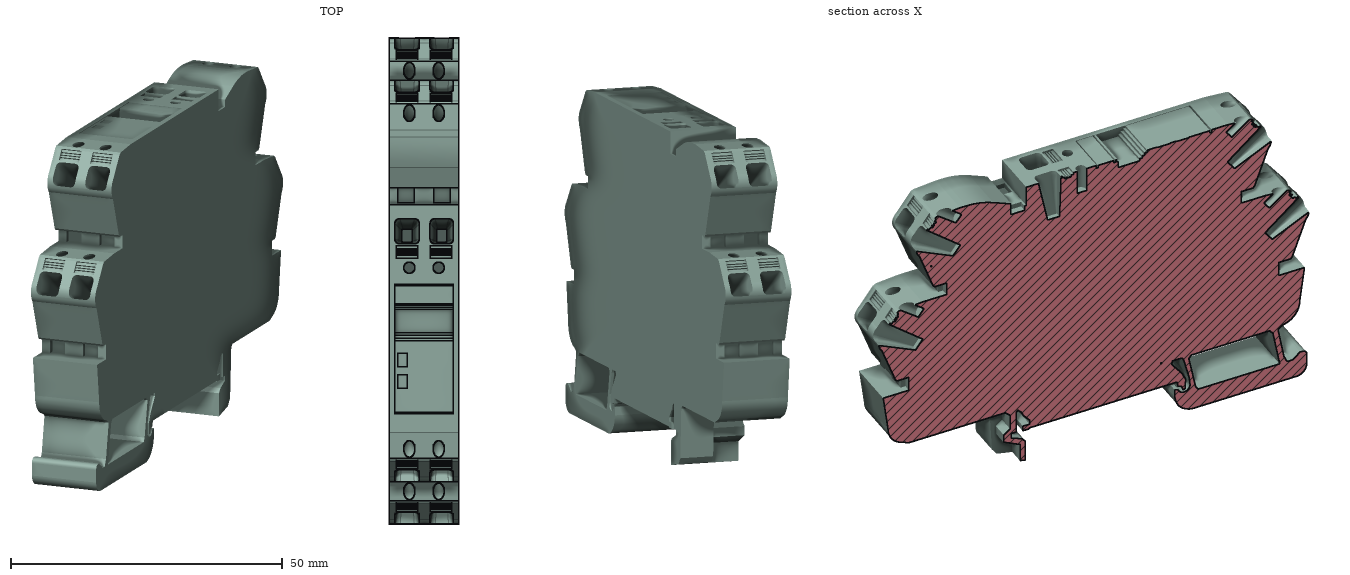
import cadquery as cq
import math

WIDTH = 12.8
HALF_LENGTH = 89.37 / 2
HEIGHT = 62.45
SIDE_X = -WIDTH / 2
CUT_MARGIN = 0.5

TIER_OUT = 7.8
TIER_DROP = 18.85
TIERS = (0, 1)
ENDS = (-1, 1)

LOBE_REACH = HALF_LENGTH - TIER_OUT
LOBE_FLAT_END = 27.8
LOBE_SHOULDER = (32.6, 62.05)
LOBE_FACE_TOP = (33.1, 61.7)
LOBE_FACE_END = (36.0, 57.92)
LOBE_NOSE = (LOBE_REACH, 55.91)
LOBE_NOSE_END = (36.2, 54.1)
NOTCH_TOP_Z = 46.1
HEEL_CHAMFER = 0.4
LOBE_HEEL = (33.4, NOTCH_TOP_Z + HEEL_CHAMFER)
NOTCH_WALL_Y = 31.6
NOTCH_HEIGHT = NOTCH_TOP_Z - (HEIGHT - TIER_DROP)

LEDGE_Y = 43.75
LEDGE_Z = 24.4
CORNER_START = (42.75, 17.0)
CORNER_MID = (41.75, 14.2)
CORNER_END = (39.4, 12.75)
HOUSING_BOTTOM_Z = 12.3
STRUT_FOOT_Y = 38.5
RAIL_FACE_Z = 7.15

CREST_Y = 26.5
CREST_RADIUS = 14.3
CREST_ANGLE = math.radians(23)
SLOT_OUTER_Y = 17.15
SLOT_INNER_Y = 14.05
SLOT_FLOOR_Z = 58.3

BUTTON_X = 3.12
FUNNELS = ((-3.12, 4.5), (3.25, 4.3))
FUNNEL_START = 2.65
FUNNEL_LENGTH = 4.6
FUNNEL_DEPTH = 9.0
FUNNEL_CORNER = 0.9
FUNNEL_FLOOR_WIDTH = 1.9
FUNNEL_FLOOR_LENGTH = 2.4
FUNNEL_FLOOR_CORNER = 0.2
FUNNEL_FLOOR_SETBACK = 0.3
BUTTON_WIDTH = 4.0
BUTTON_LENGTH = 2.3
BUTTON_DEPTH = 0.4
BUTTON_GROOVE_DEPTH = 0.4
BUTTON_GROOVE_WIDTH = 0.25
BUTTON_GROOVES = (0.5, 1.0, 1.5)
TEST_HOLE_X = 2.7
TEST_HOLE_OFFSET = 1.75
TEST_HOLE_DIAMETER = 2.05
TEST_HOLE_DEPTH = 5.0
TOP_TERMINAL_Y = 4.2

MARKER_X = 3.28
MARKER_WIDTH = 3.0
MARKER_DEPTH = 1.0
SLOT_MARKER_LENGTH = 2.75

LABEL_WIDTH = 10.7
LABEL_REAR_Y = -0.55
LABEL_FRONT_Y = -24.4
LABEL_RECESS = 0.1
LABEL_GAP = 0.3
LABEL_GAP_DEPTH = 0.6
GRIP_GROOVE_Y = -4.15
GRIP_REAR_Y = -5.15
GRIP_FRONT_Y = -9.5
GRIP_DEPTH = 2.0
GRIP_STAIRS = 3
GRIP_STAIR_RUN = 0.5
LAMP_X = -3.95
LAMP_SIZE = (1.75, 2.5)
LAMP_CENTRES_Y = (-14.5, -18.5)

FOOT_SLOT_DEPTH = 1.0
CLIP_RECESS_DEPTH = WIDTH / 2


def lobe_point(point, tier):
    """Move a point of the upper lobe to the given tier."""
    out, height = point
    return (out + tier * TIER_OUT, height - tier * TIER_DROP)


def side_plate(outline, depth=WIDTH):
    """Extrude a closed YZ outline from the -X side face."""
    return outline.close().extrude(depth)


def yz_start(point):
    """Begin an outline in the plane of the -X side face."""
    return cq.Workplane("YZ", origin=(SIDE_X, 0, 0)).moveTo(*point)


def box(x_range, y_range, z_range):
    """Block between the given limits along X, Y and Z."""
    corners = (x_range, y_range, z_range)
    sizes = [high - low for low, high in corners]
    centre = tuple((low + high) / 2 for low, high in corners)
    return cq.Workplane("XY").box(*sizes).translate(centre)


def half_housing(end):
    """Stepped housing on one side of the mid plane."""
    def at(point, tier=0):
        out, height = lobe_point(point, tier)
        return (end * out, height)

    outline = yz_start((0, HOUSING_BOTTOM_Z)).lineTo(0, HEIGHT)
    for tier in TIERS:
        outline = (
            outline.lineTo(*at((LOBE_FLAT_END, HEIGHT), tier))
            .lineTo(*at(LOBE_SHOULDER, tier))
            .lineTo(*at(LOBE_FACE_TOP, tier))
            .lineTo(*at(LOBE_FACE_END, tier))
            .threePointArc(at(LOBE_NOSE, tier), at(LOBE_NOSE_END, tier))
            .lineTo(*at(LOBE_HEEL, tier))
            .lineTo(*at((LOBE_HEEL[0] - HEEL_CHAMFER, NOTCH_TOP_Z), tier))
            .lineTo(*at((NOTCH_WALL_Y, NOTCH_TOP_Z), tier))
        )
        shelf_z = LEDGE_Z if tier else HEIGHT - TIER_DROP
        outline = outline.lineTo(end * (NOTCH_WALL_Y + tier * TIER_OUT), shelf_z)
    outline = (
        outline.lineTo(*at((LEDGE_Y, LEDGE_Z)))
        .lineTo(*at(CORNER_START))
        .threePointArc(at(CORNER_MID), at(CORNER_END))
        .lineTo(*at((STRUT_FOOT_Y, HOUSING_BOTTOM_Z)))
    )
    return side_plate(outline)


def crest_cut():
    """Material removed above the rear crest and in the slot beside it."""
    arc_end_y = CREST_Y - CREST_RADIUS * math.sin(CREST_ANGLE)
    arc_end_z = HEIGHT - CREST_RADIUS * (1 - math.cos(CREST_ANGLE))
    arc_mid_y = CREST_Y - CREST_RADIUS * math.sin(CREST_ANGLE / 2)
    arc_mid_z = HEIGHT - CREST_RADIUS * (1 - math.cos(CREST_ANGLE / 2))
    brow_z = arc_end_z - (arc_end_y - SLOT_OUTER_Y) * math.tan(CREST_ANGLE)
    above = HEIGHT + CUT_MARGIN
    outline = (
        yz_start((CREST_Y, HEIGHT))
        .threePointArc((arc_mid_y, arc_mid_z), (arc_end_y, arc_end_z))
        .lineTo(SLOT_OUTER_Y, brow_z)
        .lineTo(SLOT_OUTER_Y, SLOT_FLOOR_Z)
        .lineTo(SLOT_INNER_Y, SLOT_FLOOR_Z)
        .lineTo(SLOT_INNER_Y, above)
        .lineTo(CREST_Y, above)
    )
    return side_plate(outline)


def rail_block():
    """Block that rests on the rail, with a lip at the rear and a hook at the front."""
    outline = (
        yz_start((16.0, HOUSING_BOTTOM_Z))
        .lineTo(15.5, 11.7)
        .lineTo(15.1, 11.4)
        .lineTo(14.7, 10.5)
        .lineTo(13.35, 8.9)
        .lineTo(13.35, 8.1)
        .lineTo(14.75, 8.1)
        .lineTo(14.75, 6.95)
        .lineTo(13.35, 6.95)
        .lineTo(13.35, RAIL_FACE_Z)
        .lineTo(-17.2, RAIL_FACE_Z)
        .lineTo(-17.45, 6.1)
        .lineTo(-18.2, 5.9)
        .lineTo(-18.45, 5.0)
        .lineTo(-18.95, 5.0)
        .lineTo(-19.1, 7.2)
        .lineTo(-18.3, 8.9)
        .lineTo(-16.2, 11.6)
        .lineTo(-16.35, HOUSING_BOTTOM_Z)
    )
    return side_plate(outline)


def rear_clip():
    """Springy leg that snaps behind the rear edge of the rail."""
    outline = (
        yz_start((20.6, HOUSING_BOTTOM_Z))
        .lineTo(20.05, 11.7)
        .lineTo(19.5, 2.3)
        .lineTo(18.5, 1.0)
        .lineTo(14.2, 0.1)
        .lineTo(14.2, 4.5)
        .lineTo(14.9, 5.3)
        .lineTo(17.1, 6.2)
        .lineTo(17.1, 7.15)
        .lineTo(16.05, 7.15)
        .lineTo(16.05, 11.6)
        .lineTo(15.6, HOUSING_BOTTOM_Z)
    )
    return side_plate(outline)


def rear_clip_recess():
    """Outer part of the clip, set back from the side face."""
    outline = (
        yz_start((21.5, HOUSING_BOTTOM_Z))
        .lineTo(18.4, HOUSING_BOTTOM_Z)
        .lineTo(17.4, 11.4)
        .lineTo(17.4, 8.4)
        .lineTo(18.7, 7.4)
        .lineTo(18.7, 5.7)
        .lineTo(15.3, 4.0)
        .lineTo(15.3, -CUT_MARGIN)
        .lineTo(21.5, -CUT_MARGIN)
    )
    return side_plate(outline, CLIP_RECESS_DEPTH)


def front_foot():
    """Foot latch hung below the housing by two slanted struts."""
    outline = (
        yz_start((-18.3, HOUSING_BOTTOM_Z))
        .lineTo(-18.6, 11.7)
        .lineTo(-19.7, 7.5)
        .lineTo(-19.9, 5.8)
        .threePointArc((-18.8, 4.5), (-17.5, 5.5))
        .lineTo(-16.75, 5.6)
        .lineTo(-16.75, 4.0)
        .threePointArc((-17.9, 1.3), (-20.3, 0))
        .lineTo(-42.0, 0)
        .threePointArc((-43.5, 0.6), (-44.2, 2.1))
        .lineTo(-44.2, 4.5)
        .threePointArc((-43.93, 5.13), (-43.3, 5.4))
        .lineTo(-42.8, 5.4)
        .lineTo(-41.2, 4.15)
        .lineTo(-40.1, 4.15)
        .lineTo(-39.5, 5.4)
        .lineTo(-38.25, 12.0)
        .lineTo(-STRUT_FOOT_Y, HOUSING_BOTTOM_Z)
    )
    window = (
        yz_start((-20.2, HOUSING_BOTTOM_Z))
        .lineTo(-19.75, 11.7)
        .lineTo(-21.15, 4.9)
        .lineTo(-21.6, 4.15)
        .lineTo(-38.5, 4.15)
        .lineTo(-37.1, 11.5)
        .lineTo(-36.5, HOUSING_BOTTOM_Z)
    )
    return side_plate(outline).cut(side_plate(window))


def foot_slot():
    """Long shallow groove in the side of the foot latch."""
    outline = (
        yz_start((-18.3, 3.0))
        .lineTo(-18.8, 3.5)
        .lineTo(-20.7, 3.5)
        .lineTo(-21.5, 3.0)
        .lineTo(-39.4, 3.0)
        .threePointArc((-40.05, 2.05), (-39.4, 1.1))
        .lineTo(-20.3, 1.1)
        .threePointArc((-19.0, 1.7), (-18.3, 3.0))
    )
    return side_plate(outline, FOOT_SLOT_DEPTH)


def wire_funnel(face, x, width, end):
    """Funnel whose far and side walls slope in while the button side stays steep."""
    mouth_y = end * (FUNNEL_START + FUNNEL_LENGTH / 2)
    floor_y = end * (FUNNEL_START + FUNNEL_FLOOR_SETBACK + FUNNEL_FLOOR_LENGTH / 2)
    mouth = cq.Sketch().rect(width, FUNNEL_LENGTH).vertices().fillet(FUNNEL_CORNER)
    floor = (
        cq.Sketch().rect(FUNNEL_FLOOR_WIDTH, FUNNEL_FLOOR_LENGTH)
        .vertices().fillet(FUNNEL_FLOOR_CORNER)
    )
    floor_place = cq.Location(cq.Vector(0, floor_y - mouth_y, -FUNNEL_DEPTH))
    funnel = face.center(x, mouth_y)
    clearance = funnel.placeSketch(mouth).extrude(CUT_MARGIN)
    return funnel.placeSketch(mouth, floor.moved(floor_place)).loft().union(clearance)


def terminal_pair(origin, tilt, end):
    """Cutters for two terminals on a face tilted towards one end.

    Distances along the face run from the test holes to the wire funnels.
    """
    normal = (0, end * math.sin(tilt), math.cos(tilt))
    face = cq.Workplane(cq.Plane(origin=origin, xDir=(1, 0, 0), normal=normal))

    def pocket(x, start, width, length):
        return face.center(x, end * (start + length / 2)).rect(width, length)

    cutters = []
    for funnel_x, funnel_width in FUNNELS:
        side = math.copysign(1, funnel_x)
        button_x = side * BUTTON_X
        cutters.append(wire_funnel(face, funnel_x, funnel_width, end))
        cutters.append(pocket(button_x, 0, BUTTON_WIDTH, BUTTON_LENGTH).extrude(-BUTTON_DEPTH))
        for start in BUTTON_GROOVES:
            groove = pocket(button_x, start, BUTTON_WIDTH, BUTTON_GROOVE_WIDTH)
            cutters.append(groove.extrude(-BUTTON_DEPTH - BUTTON_GROOVE_DEPTH))
        cutters.append(
            face.workplane(offset=-TEST_HOLE_DEPTH)
            .center(side * TEST_HOLE_X, -end * TEST_HOLE_OFFSET)
            .circle(TEST_HOLE_DIAMETER / 2)
            .extrude(TEST_HOLE_DEPTH + CUT_MARGIN)
        )
    return cutters


def all_terminals():
    """Cutters for the pair on top and the pairs on the four lobes."""
    run = LOBE_FACE_END[0] - LOBE_FACE_TOP[0]
    drop = LOBE_FACE_TOP[1] - LOBE_FACE_END[1]
    face_tilt = math.atan2(drop, run)
    cutters = terminal_pair((0, TOP_TERMINAL_Y, HEIGHT), 0, 1)
    for end in ENDS:
        for tier in TIERS:
            out, height = lobe_point(LOBE_FACE_TOP, tier)
            cutters += terminal_pair((0, end * out, height), face_tilt, end)
    return cutters


def marker_pockets():
    """Pockets in the notch walls and in the floor of the top slot."""
    cutters = []
    for x in (-MARKER_X, MARKER_X):
        x_range = (x - MARKER_WIDTH / 2, x + MARKER_WIDTH / 2)
        slot_y = (SLOT_OUTER_Y - SLOT_MARKER_LENGTH, SLOT_OUTER_Y)
        cutters.append(box(x_range, slot_y, (SLOT_FLOOR_Z - MARKER_DEPTH, SLOT_FLOOR_Z)))
        for end in ENDS:
            for tier in TIERS:
                wall, top = lobe_point((NOTCH_WALL_Y, NOTCH_TOP_Z), tier)
                bottom = LEDGE_Z if tier else top - NOTCH_HEIGHT
                y_range = sorted((end * wall, end * (wall - MARKER_DEPTH)))
                cutters.append(box(x_range, y_range, (bottom, top)))
    return cutters


def label_carrier():
    """Inset label with end gaps, a finger grip and two lamp windows."""
    x_range = (-LABEL_WIDTH / 2, LABEL_WIDTH / 2)
    steps = (
        (LABEL_FRONT_Y, LABEL_REAR_Y, LABEL_RECESS),
        (LABEL_REAR_Y - LABEL_GAP, LABEL_REAR_Y, LABEL_GAP_DEPTH),
        (LABEL_FRONT_Y, LABEL_FRONT_Y + LABEL_GAP, LABEL_GAP_DEPTH),
        (GRIP_GROOVE_Y - LABEL_GAP, GRIP_GROOVE_Y, LABEL_GAP_DEPTH),
        (GRIP_REAR_Y, GRIP_REAR_Y + LABEL_GAP, LABEL_GAP_DEPTH),
        (GRIP_FRONT_Y, GRIP_REAR_Y, GRIP_DEPTH),
    )
    stairs = tuple(
        (
            GRIP_FRONT_Y - (stair + 1) * GRIP_STAIR_RUN,
            GRIP_FRONT_Y - stair * GRIP_STAIR_RUN,
            GRIP_DEPTH * (GRIP_STAIRS - stair) / (GRIP_STAIRS + 1),
        )
        for stair in range(GRIP_STAIRS)
    )
    cutters = []
    for front, rear, depth in steps + stairs:
        cutters.append(box(x_range, (front, rear), (HEIGHT - depth, HEIGHT)))
    lamp_x = (LAMP_X - LAMP_SIZE[0] / 2, LAMP_X + LAMP_SIZE[0] / 2)
    for y in LAMP_CENTRES_Y:
        lamp_y = (y - LAMP_SIZE[1] / 2, y + LAMP_SIZE[1] / 2)
        cutters.append(box(lamp_x, lamp_y, (HEIGHT - 2 * LABEL_RECESS, HEIGHT)))
    return cutters


result = half_housing(-1).union(half_housing(1)).cut(crest_cut())
for piece in (rail_block(), rear_clip(), front_foot()):
    result = result.union(piece)

side_recesses = [rear_clip_recess(), foot_slot()]
for cutter in side_recesses + all_terminals() + marker_pockets() + label_carrier():
    result = result.cut(cutter)